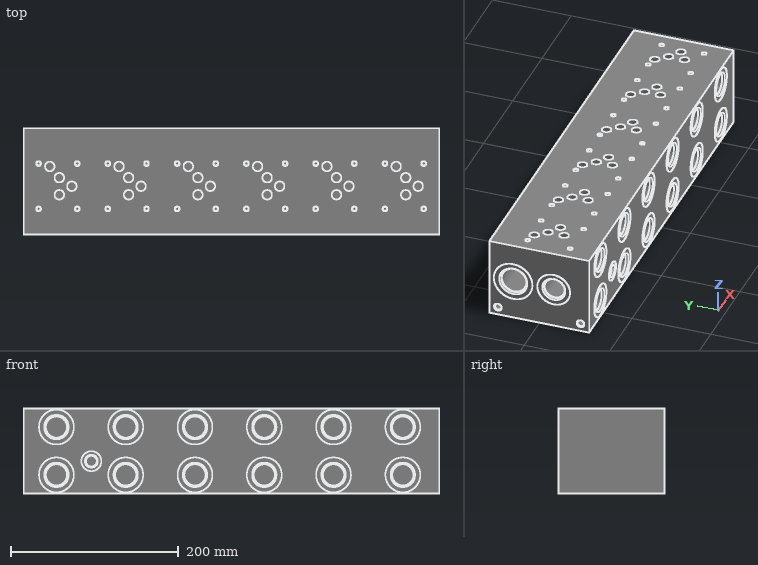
import cadquery as cq
import math

LENGTH = 495.5
WIDTH = 127.0
HEIGHT = 101.5

STATION_COUNT = 6
STATION_SPAN = 412.5
STATION_PITCH = STATION_SPAN / (STATION_COUNT - 1)

BOLT_FIRST_X = 18.0
BOLT_FRONT_Y = 30.5
BOLT_SPACING_X = 46.0
BOLT_SPACING_Y = 54.0
BOLT_MOUTH_DIAMETER = 6.0
BOLT_DRILL_DIAMETER = 5.0
BOLT_DEPTH = 15.0
VALVE_PORT_DIAMETER = 11.5
VALVE_PORT_DEPTH = 25.0
VALVE_PORT_OFFSETS = [(13.5, 50.5), (25.0, 37.0), (39.5, BOLT_SPACING_Y / 2), (25.0, 17.0)]

WORK_PORT_FIRST_X = 39.0
WORK_PORT_EDGE_GAP = 22.5
WORK_PORT_HEIGHTS = (WORK_PORT_EDGE_GAP, HEIGHT - WORK_PORT_EDGE_GAP)
WORK_PORT_DEPTH = 39.5

GAUGE_X = 80.5
GAUGE_Z = 38.5
GAUGE_DEPTH = 20.0

GALLERY_Z = HEIGHT / 2
GALLERY_DEPTH = 455.5
TANK_Y = 96.5
PRESSURE_Y = 45.0

MOUNT_EDGE_GAP_Y = 11.0
MOUNT_Z = 10.5
MOUNT_MOUTH_DIAMETER = 10.0
MOUNT_DRILL_DIAMETER = 8.0
MOUNT_DEPTH = 20.0

GAUGE_PORT = (24.0, 15.5, 14.0, 13.0)
LARGE_PORT = (41.5, 29.0, 27.0, 25.5)
TANK_PORT = (49.0, 35.5, 33.0, 31.0)
SPOTFACE_DEPTH = 0.5
SEAL_SEAT_DEPTH = 3.0
DRILL_POINT_ANGLE = 118.0

INTO_FRONT = cq.Vector(0, 1, 0)
INTO_LEFT_END = cq.Vector(1, 0, 0)
INTO_TOP = cq.Vector(0, 0, -1)


def port(center, inward, diameters, depth):
    """Flat-bottomed bore behind a tapered seal seat and a shallow spotface.

    The diameters run inward: spotface, mouth of the seat, thread at its foot, bore.
    """
    spotface_radius, mouth_radius, thread_radius, bore_radius = [diameter / 2 for diameter in diameters]
    seat_start = center + inward * SPOTFACE_DEPTH
    spotface = cq.Solid.makeCylinder(spotface_radius, SPOTFACE_DEPTH, center, inward)
    seat = cq.Solid.makeCone(mouth_radius, thread_radius, SEAL_SEAT_DEPTH, seat_start, inward)
    bore = cq.Solid.makeCylinder(bore_radius, depth, center, inward)
    return bore.fuse(seat, spotface)


def drilled_hole(center, inward, mouth_diameter, drill_diameter, depth):
    """Blind hole with a 45 degree mouth and a conical drill point."""
    mouth_radius = mouth_diameter / 2
    drill_radius = drill_diameter / 2
    point_depth = drill_radius / math.tan(math.radians(DRILL_POINT_ANGLE / 2))
    mouth = cq.Solid.makeCone(mouth_radius, drill_radius, mouth_radius - drill_radius, center, inward)
    shaft = cq.Solid.makeCylinder(drill_radius, depth, center, inward)
    point = cq.Solid.makeCone(drill_radius, 0, point_depth, center + inward * depth, inward)
    return shaft.fuse(mouth, point)


def valve_station(offset_x):
    """Bolt holes and flat-bottomed ports under one valve."""
    corner = cq.Vector(BOLT_FIRST_X + offset_x, BOLT_FRONT_Y, HEIGHT)
    cutters = []
    for x in (0, BOLT_SPACING_X):
        for y in (0, BOLT_SPACING_Y):
            cutters.append(drilled_hole(
                corner + cq.Vector(x, y, 0), INTO_TOP, BOLT_MOUTH_DIAMETER, BOLT_DRILL_DIAMETER, BOLT_DEPTH
            ))
    for x, y in VALVE_PORT_OFFSETS:
        cutters.append(cq.Solid.makeCylinder(
            VALVE_PORT_DIAMETER / 2, VALVE_PORT_DEPTH, corner + cq.Vector(x, y, 0), INTO_TOP
        ))
    return cutters


def work_ports(offset_x):
    """Ports A and B on the front face of one station."""
    return [
        port(cq.Vector(WORK_PORT_FIRST_X + offset_x, 0, z), INTO_FRONT, LARGE_PORT, WORK_PORT_DEPTH)
        for z in WORK_PORT_HEIGHTS
    ]


cutters = []
for station in range(STATION_COUNT):
    cutters += valve_station(station * STATION_PITCH)
    cutters += work_ports(station * STATION_PITCH)

cutters.append(port(cq.Vector(GAUGE_X, 0, GAUGE_Z), INTO_FRONT, GAUGE_PORT, GAUGE_DEPTH))
cutters.append(port(cq.Vector(0, TANK_Y, GALLERY_Z), INTO_LEFT_END, TANK_PORT, GALLERY_DEPTH))
cutters.append(port(cq.Vector(0, PRESSURE_Y, GALLERY_Z), INTO_LEFT_END, LARGE_PORT, GALLERY_DEPTH))

for mount_y in (MOUNT_EDGE_GAP_Y, WIDTH - MOUNT_EDGE_GAP_Y):
    cutters.append(drilled_hole(
        cq.Vector(0, mount_y, MOUNT_Z), INTO_LEFT_END, MOUNT_MOUTH_DIAMETER, MOUNT_DRILL_DIAMETER, MOUNT_DEPTH
    ))

block = cq.Solid.makeBox(LENGTH, WIDTH, HEIGHT)
result = cq.Workplane("XY").newObject([block.cut(*cutters)])